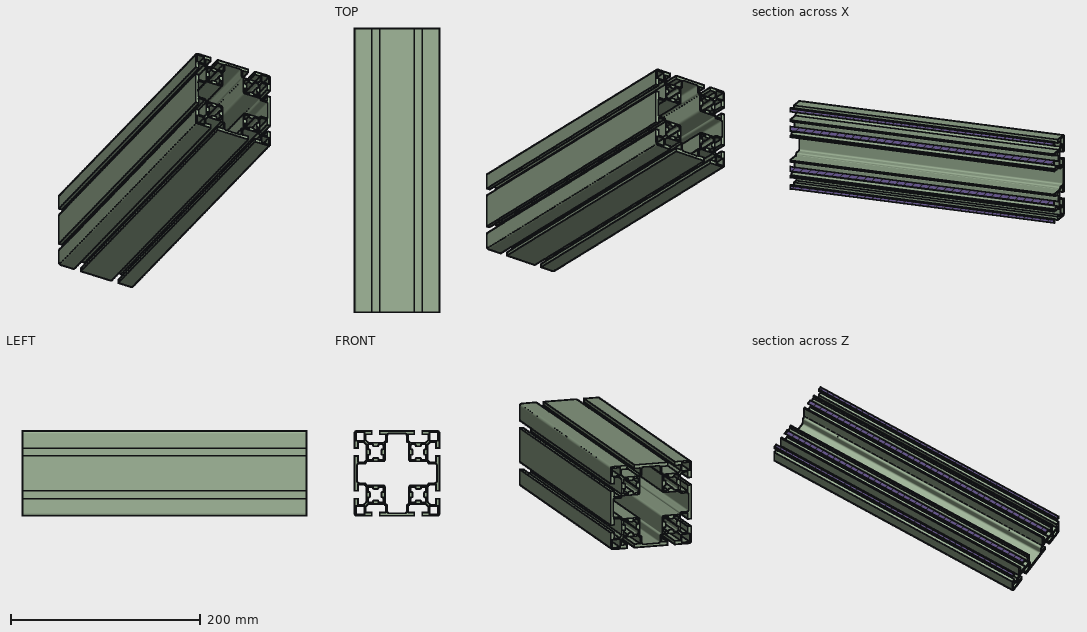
import cadquery as cq

length = 300.0
side = 90.0
half = side / 2
half_length = length / 2
outer_radius = 3.0

quarter_centre = side / 4
slot_width = 8.0
lip_thickness = 4.0
channel_width = 21.0
channel_floor = 12.5
channel_outer_chamfer = 2.7
channel_inner_chamfer = 1.8

tube_start = 1.8
tube_end = 10.5

face_wall = 3.0
channel_wall = 1.8
arm_corner_radius = 1.8
arm_half_width = half - quarter_centre - channel_width / 2 - channel_wall
arm_step_depth = 12.3
step_outer_radius = 1.8
step_inner_radius = 0.45

core_wall = 1.8
core_outer_half = 10.0
core_inner_half = core_outer_half - core_wall
core_outer_radius = 2.5
core_inner_radius = 1.0
pad_width = 6.0
pad_tip = 6.0
pad_radius = 1.5
hub_half_width = half - quarter_centre - core_outer_half


def section_box(x_min, x_max, z_min, z_max):
    """Full-length prism spanning the given part of the XZ section."""
    prism = cq.Workplane("XY").box(x_max - x_min, length, z_max - z_min)
    return prism.translate(((x_min + x_max) / 2, 0, (z_min + z_max) / 2))


def centred_box(half_x, half_z):
    return section_box(-half_x, half_x, -half_z, half_z)


def t_slot():
    """Cutter for the T-slot opening through the top face nearest the +X edge."""
    mouth = section_box(-slot_width / 2, slot_width / 2, half - channel_floor, half)
    channel = section_box(-channel_width / 2, channel_width / 2, half - channel_floor, half - lip_thickness)
    channel = channel.edges("|Y").edges("<Z").edges(">X").chamfer(channel_outer_chamfer)
    channel = channel.edges("|Y").edges("<Z").edges("<X").chamfer(channel_inner_chamfer)
    return mouth.union(channel).translate((quarter_centre, 0, 0))


def fillet_near(body, x, z, radius):
    """Fillet the lengthwise edges at (x, z) and at its mirror images across both mid-planes."""
    reach = 0.15
    for side_x in (x, -x):
        for side_z in (z, -z):
            around = cq.selectors.BoxSelector(
                (side_x - reach, -half_length, side_z - reach),
                (side_x + reach, half_length, side_z + reach),
            )
            body = body.edges("|Y").edges(around).fillet(radius)
    return body


def central_cavity():
    """Square hub with four narrower arms reaching toward the outer faces."""
    arm_end = half - face_wall
    step = half - arm_step_depth
    arm_x = centred_box(arm_end, arm_half_width)
    arm_z = centred_box(arm_half_width, arm_end)
    hub_x = centred_box(step, hub_half_width)
    hub_z = centred_box(hub_half_width, step)
    cavity = arm_x.union(arm_z).union(hub_x).union(hub_z)
    cavity = fillet_near(cavity, hub_half_width, hub_half_width, core_outer_radius)
    rounded_corners = [
        (arm_end, arm_half_width, arm_corner_radius),
        (step, arm_half_width, step_outer_radius),
        (step, hub_half_width, step_inner_radius),
    ]
    for along, across, radius in rounded_corners:
        cavity = fillet_near(cavity, along, across, radius)
        cavity = fillet_near(cavity, across, along, radius)
    return cavity


def screw_core():
    """Cutter for the inside of one screw core, centred on the Y axis."""
    cavity = centred_box(core_inner_half, core_inner_half).edges("|Y").fillet(core_inner_radius)
    pad = section_box(-pad_width / 2, pad_width / 2, pad_tip, core_inner_half)
    pad = pad.edges("|Y and <Z").fillet(pad_radius)
    for turn in range(4):
        cavity = cavity.cut(pad.rotate((0, 0, 0), (0, 1, 0), 90 * turn))
    return cavity


def corner_tube():
    """Cutter for the square tube in the +X +Z corner."""
    return section_box(half - tube_end, half - tube_start, half - tube_end, half - tube_start)


profile = centred_box(half, half).edges("|Y").fillet(outer_radius)
profile = profile.cut(central_cavity())

for turn in range(4):
    quarter_cutters = [
        t_slot(),
        t_slot().mirror("YZ"),
        screw_core().translate((quarter_centre, 0, quarter_centre)),
        corner_tube(),
    ]
    for cutter in quarter_cutters:
        profile = profile.cut(cutter.rotate((0, 0, 0), (0, 1, 0), 90 * turn))

result = profile